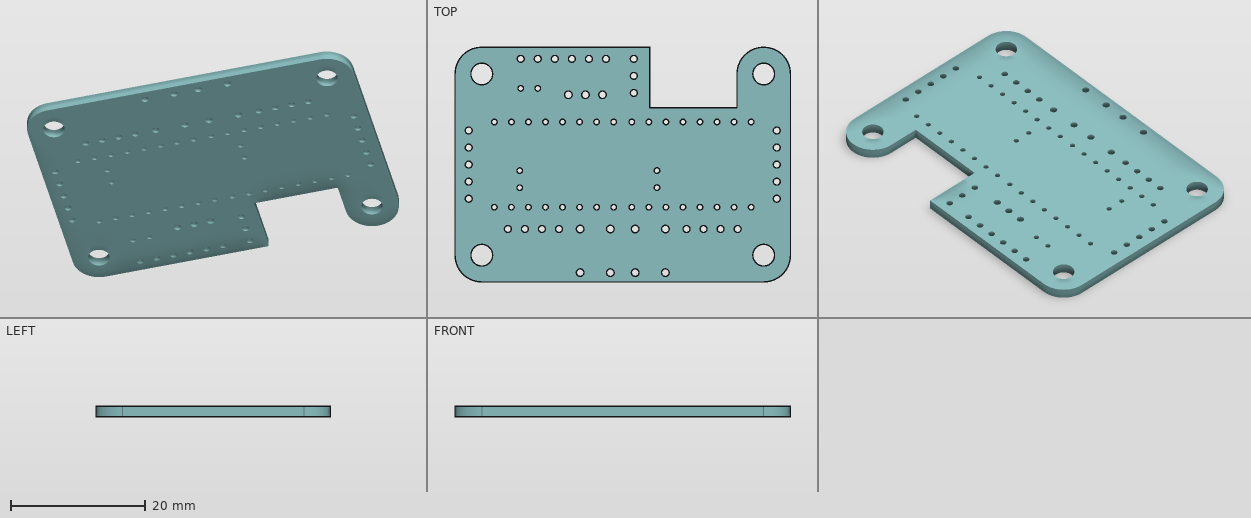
import cadquery as cq

length = 50.0
width = 35.0
thickness = 1.6
corner_radius = 4.0
mount_x = length / 2 - corner_radius
mount_y = width / 2 - corner_radius

notch_left = 4.05
notch_right = mount_x - corner_radius
notch_floor = 8.5

mount_diameter = 3.2
small_diameter = 0.8
pin_diameter = 1.0
large_diameter = 1.1

pitch = 25.4 / 10

socket_row_y = 6.35
socket_inner_x = 1.35
socket_group_count = 8

side_header_x = 22.95
side_header_count = 5

top_header_y = 15.75
top_header_x = -15.2
top_header_count = 6
notch_header_x = 1.65
notch_header_count = 3
top_pair_y = 11.35
trio_x = -8.1
trio_y = 10.4
trio_count = 3

inner_pair_columns = (-15.35, 5.1)
inner_pair_y = -0.9

lower_row_y = -9.6
lower_header_inner_x = 9.5
lower_header_count = 4
terminal_columns = (1.85, 6.35)
terminal_edge_y = -16.1


def row(x, y, count, step=pitch):
    """Hole centres along X, starting at (x, y)."""
    return [(x + i * step, y) for i in range(count)]


def column(x, y, count):
    """Hole centres stepping toward -Y, starting at (x, y)."""
    return [(x, y - i * pitch) for i in range(count)]


def mirrored_row(inner_x, y, count):
    """Two rows stepping outward from +inner_x and -inner_x."""
    return row(inner_x, y, count) + row(-inner_x, y, count, -pitch)


def make_board():
    plate = cq.Workplane("XY").box(length, width, thickness)
    plate = plate.edges("|Z").fillet(corner_radius)
    notch_depth = width / 2 - notch_floor
    notch = cq.Workplane("XY").box(
        notch_right - notch_left, notch_depth, thickness, centered=(False, False, True)
    ).translate((notch_left, notch_floor, 0))
    tab_corner = cq.Workplane("XY").box(
        corner_radius, corner_radius, thickness, centered=(False, False, True)
    ).translate((notch_right, mount_y, 0))
    tab_disc = (
        cq.Workplane("XY")
        .center(mount_x, mount_y)
        .circle(corner_radius)
        .extrude(thickness / 2, both=True)
    )
    return plate.cut(notch).cut(tab_corner.cut(tab_disc))


def drill(board, points, diameter):
    holes = (
        cq.Workplane("XY")
        .pushPoints(points)
        .circle(diameter / 2)
        .extrude(thickness, both=True)
    )
    return board.cut(holes)


mount_points = [(x, y) for x in (-mount_x, mount_x) for y in (-mount_y, mount_y)]

small_points = row(top_header_x, top_pair_y, 2)
for y in (socket_row_y, -socket_row_y):
    small_points += mirrored_row(socket_inner_x, y, socket_group_count)
for x in inner_pair_columns:
    small_points += column(x, inner_pair_y, 2)

pin_points = row(top_header_x, top_header_y, top_header_count)
pin_points += column(notch_header_x, top_header_y, notch_header_count)
pin_points += mirrored_row(lower_header_inner_x, lower_row_y, lower_header_count)
side_header_top_y = (side_header_count - 1) * pitch / 2
for x in (-side_header_x, side_header_x):
    pin_points += column(x, side_header_top_y, side_header_count)

large_points = row(trio_x, trio_y, trio_count)
for y in (lower_row_y, terminal_edge_y):
    for x in terminal_columns:
        large_points += [(-x, y), (x, y)]

result = make_board()
result = drill(result, mount_points, mount_diameter)
result = drill(result, small_points, small_diameter)
result = drill(result, pin_points, pin_diameter)
result = drill(result, large_points, large_diameter)